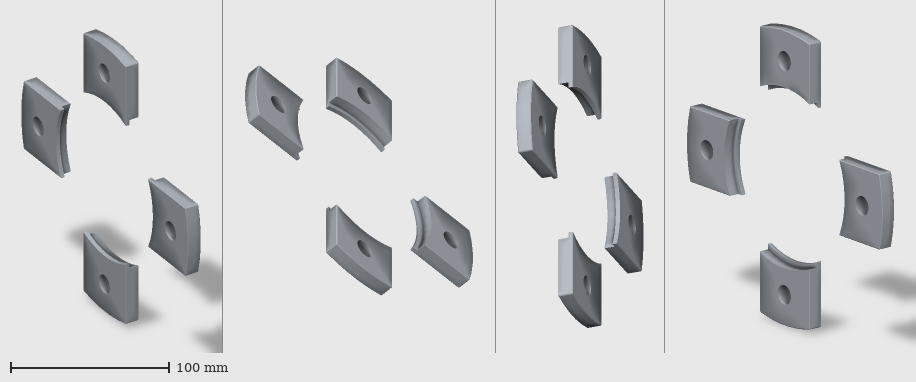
import cadquery as cq

OUTER_RADIUS = 97.5
LIP_RADIUS = 56.5
STEP_RADIUS = 59.9

PAD_WIDTH = 50.0
PAD_THICKNESS = 10.0
LIP_THICKNESS = 3.0
EDGE_CHAMFER = 0.5

HOLE_DIAMETER = 12.9
HOLE_CENTER_RADIUS = 77.2

PAD_COUNT = 4

FRONT_Y = -PAD_THICKNESS / 2
BACK_Y = PAD_THICKNESS / 2


def disc(radius, y_start, y_end):
    """Solid disc about the Y axis between two Y positions."""
    return cq.Workplane("XZ", origin=(0, y_start, 0)).circle(radius).extrude(y_start - y_end)


def pad_blank():
    """Straight-sided block with the curved outer end, chamfered along its outer edges."""
    block = (
        cq.Workplane("XY")
        .box(PAD_WIDTH, PAD_THICKNESS, OUTER_RADIUS, centered=(True, True, False))
        .intersect(disc(OUTER_RADIUS, FRONT_Y, BACK_Y))
    )
    return block.faces("<X or >X or >Z").edges("not <Z").chamfer(EDGE_CHAMFER)


def pad():
    """Pad on the +Z side of the ring, with a stepped inner end and a bolt hole."""
    stepped = (
        pad_blank()
        .cut(disc(LIP_RADIUS, FRONT_Y, BACK_Y))
        .cut(disc(STEP_RADIUS, FRONT_Y + LIP_THICKNESS, BACK_Y))
    )
    bolt_hole = disc(HOLE_DIAMETER / 2, FRONT_Y, BACK_Y).translate((0, 0, HOLE_CENTER_RADIUS))
    return stepped.cut(bolt_hole)


pads = []
for index in range(PAD_COUNT):
    angle = index * 360 / PAD_COUNT
    pads.append(pad().rotate((0, 0, 0), (0, 1, 0), angle).val())

result = cq.Compound.makeCompound(pads)